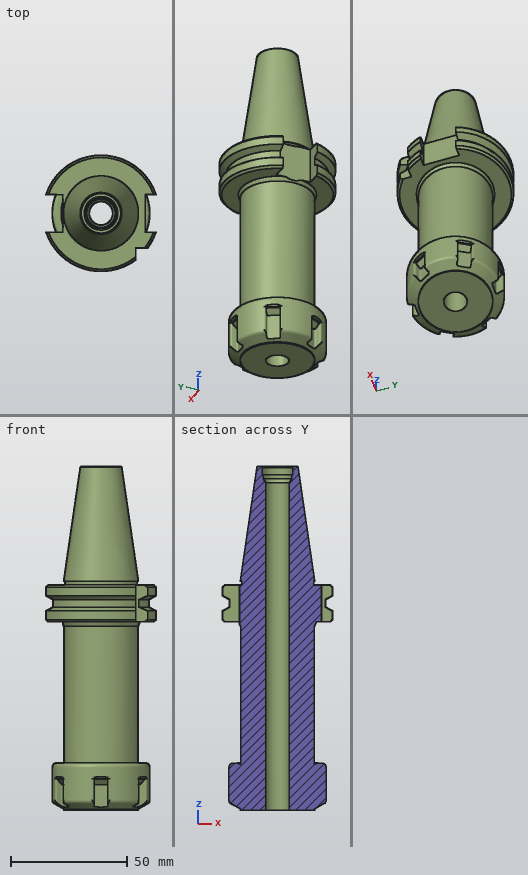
import cadquery as cq
import math

gauge_radius = 31.75 / 2
taper_length = 47.8
taper_slope = 7 / 24 / 2
taper_end_z = -1.6
tip_chamfer = 0.4
relief_radius = 15.6
relief_round = 0.4

flange_radius = 25.0
flange_top_z = -3.2
flange_bottom_z = -19.1
flange_chamfer = 1.0
groove_center_z = -11.1
groove_radius = 22.15
groove_half_floor = 1.6
groove_side_angle = 30.0
drive_slot_width = 16.1
drive_slot_left_depth = 16.4
drive_slot_right_depth = 19.0
notch_offset = 15.0

body_radius = 16.0
shoulder_radius = 16.8
shoulder_height = 1.9
bottom_z = -100.0

nut_radius = 21.0
nut_height = 20.4
nut_top_round = 2.0
nut_lower_round = 1.6
nut_face_radius = 15.1
nut_cone_angle = 30.0
nut_bore_radius = 17.2
nut_bore_recess = 0.5
nut_top_z = bottom_z + nut_height

wrench_slot_count = 6
wrench_slot_pitch = 360 / wrench_slot_count
wrench_slot_start_angle = -90.0
wrench_slot_width = 6.0
wrench_slot_floor = 17.5
wrench_slot_top_drop = 6.0
tall_slot_top_drop = 4.2
wrench_slot_ceiling_drop = 3.5
wrench_slot_round = 0.7
wrench_slot_flare = 0.75

bore_radius = 5.0
counterbore_radius = 6.5
counterbore_depth = 3.6
counterbore_chamfer = 0.7
bore_step_radius = 6.1
bore_step_depth = 5.3
bore_cone_height = 1.7

cut_margin = 2.0
selection_tolerance = 0.05


def revolve_profile(outline):
    """Turn a closed (radius, z) outline around the Z axis."""
    return outline.close().revolve(360, (0, 0, 0), (0, 1, 0))


def taper_radius(z):
    return gauge_radius - taper_slope * z


def make_shank_and_body():
    shank = (
        cq.Workplane("XZ")
        .moveTo(0, bottom_z)
        .lineTo(body_radius, bottom_z)
        .lineTo(body_radius, flange_bottom_z - shoulder_height)
        .lineTo(shoulder_radius, flange_bottom_z)
        .lineTo(relief_radius + relief_round, flange_bottom_z)
        .lineTo(relief_radius + relief_round, flange_top_z)
        .radiusArc((relief_radius, flange_top_z + relief_round), relief_round)
        .lineTo(relief_radius, taper_end_z)
        .lineTo(taper_radius(taper_end_z), taper_end_z)
        .lineTo(taper_radius(taper_length - tip_chamfer), taper_length - tip_chamfer)
        .lineTo(taper_radius(taper_length) - tip_chamfer, taper_length)
        .lineTo(0, taper_length)
    )
    return revolve_profile(shank)


def make_flange():
    groove_depth = flange_radius - groove_radius
    groove_half_mouth = groove_half_floor + groove_depth * math.tan(math.radians(groove_side_angle))
    rim_radius = flange_radius - flange_chamfer
    outline = (
        cq.Workplane("XZ")
        .moveTo(0, flange_bottom_z)
        .lineTo(rim_radius, flange_bottom_z)
        .lineTo(flange_radius, flange_bottom_z + flange_chamfer)
        .lineTo(flange_radius, groove_center_z - groove_half_mouth)
        .lineTo(groove_radius, groove_center_z - groove_half_floor)
        .lineTo(groove_radius, groove_center_z + groove_half_floor)
        .lineTo(flange_radius, groove_center_z + groove_half_mouth)
        .lineTo(flange_radius, flange_top_z - flange_chamfer)
        .lineTo(rim_radius, flange_top_z)
        .lineTo(0, flange_top_z)
    )
    return revolve_profile(outline)


def box_between(x_range, y_range, z_range):
    """Box spanning the given (low, high) ranges."""
    corners = list(zip(x_range, y_range, z_range))
    size = [high - low for low, high in zip(*corners)]
    return cq.Workplane("XY").box(*size, centered=False).translate(corners[0])


def make_flange_cuts():
    """Two opposed drive slots of unequal depth and one corner notch."""
    outside = flange_radius + cut_margin
    z_range = (flange_bottom_z - cut_margin, flange_top_z)
    slot_range = (-drive_slot_width / 2, drive_slot_width / 2)
    left_slot = box_between((-outside, -drive_slot_left_depth), slot_range, z_range)
    right_slot = box_between((drive_slot_right_depth, outside), slot_range, z_range)
    notch = box_between((notch_offset, outside), (-outside, -notch_offset), z_range)
    return left_slot.union(right_slot).union(notch)


def round_circle(body, radius, z, round_radius):
    """Fillet the circular edge of the given radius at height z."""
    reach = radius + cut_margin
    band = cq.selectors.BoxSelector(
        (-reach, -reach, z - selection_tolerance),
        (reach, reach, z + selection_tolerance),
    )
    outermost = cq.selectors.RadiusNthSelector(-1)
    return body.edges(band).edges(outermost).fillet(round_radius)


def make_nut():
    cone_height = (nut_radius - nut_face_radius) * math.tan(math.radians(nut_cone_angle))
    outline = (
        cq.Workplane("XZ")
        .moveTo(0, bottom_z)
        .lineTo(nut_face_radius, bottom_z)
        .lineTo(nut_radius, bottom_z + cone_height)
        .lineTo(nut_radius, nut_top_z)
        .lineTo(nut_bore_radius, nut_top_z)
        .lineTo(body_radius, nut_top_z - nut_bore_recess)
        .lineTo(0, nut_top_z - nut_bore_recess)
    )
    nut = revolve_profile(outline)
    nut = round_circle(nut, nut_radius, nut_top_z, nut_top_round)
    return round_circle(nut, nut_radius, bottom_z + cone_height, nut_lower_round)


def make_wrench_slot(angle, top_drop):
    """Cutter for one slot with a sloped ceiling, rounded floor corners and rounded mouth edges."""
    outside = nut_radius + cut_margin
    depth = nut_radius - wrench_slot_floor
    ceiling_z = nut_top_z - top_drop
    floor_end_z = ceiling_z - wrench_slot_ceiling_drop
    outside_z = ceiling_z + wrench_slot_ceiling_drop * cut_margin / depth
    low_z = bottom_z - cut_margin
    slot = (
        cq.Workplane("XZ")
        .moveTo(wrench_slot_floor, low_z)
        .lineTo(outside, low_z)
        .lineTo(outside, outside_z)
        .lineTo(wrench_slot_floor, floor_end_z)
        .close()
        .extrude(wrench_slot_width / 2, both=True)
    )
    slot = slot.faces("<X").edges("|Z").fillet(wrench_slot_round)
    half_width = wrench_slot_width / 2
    half_mouth = half_width + wrench_slot_flare
    mouth_radius = math.sqrt(nut_radius ** 2 - half_mouth ** 2)
    flare_top_z = ceiling_z - wrench_slot_flare
    flare_start = mouth_radius - wrench_slot_flare
    arc_x = flare_start + wrench_slot_flare / math.sqrt(2)
    arc_y = half_mouth - wrench_slot_flare / math.sqrt(2)
    flare = (
        cq.Workplane("XY", origin=(0, 0, low_z))
        .moveTo(flare_start, -half_width)
        .threePointArc((arc_x, -arc_y), (mouth_radius, -half_mouth))
        .lineTo(outside, -half_mouth)
        .lineTo(outside, half_mouth)
        .lineTo(mouth_radius, half_mouth)
        .threePointArc((arc_x, arc_y), (flare_start, half_width))
        .close()
        .extrude(flare_top_z - low_z)
    )
    return slot.union(flare).rotate((0, 0, 0), (0, 0, 1), angle)


def make_bore():
    cone_top_z = taper_length - bore_step_depth
    ledge_z = taper_length - counterbore_depth
    outline = (
        cq.Workplane("XZ")
        .moveTo(0, bottom_z)
        .lineTo(bore_radius, bottom_z)
        .lineTo(bore_radius, cone_top_z - bore_cone_height)
        .lineTo(bore_step_radius, cone_top_z)
        .lineTo(bore_step_radius, ledge_z)
        .lineTo(counterbore_radius, ledge_z)
        .lineTo(counterbore_radius, taper_length - counterbore_chamfer)
        .lineTo(counterbore_radius + counterbore_chamfer, taper_length)
        .lineTo(0, taper_length)
    )
    return revolve_profile(outline)


nut = make_nut()
for index in range(wrench_slot_count):
    angle = wrench_slot_start_angle + index * wrench_slot_pitch
    on_back_half = 0 < angle < 180
    top_drop = tall_slot_top_drop if on_back_half else wrench_slot_top_drop
    nut = nut.cut(make_wrench_slot(angle, top_drop))

holder = make_shank_and_body().union(make_flange()).cut(make_flange_cuts())
result = holder.union(nut).cut(make_bore())